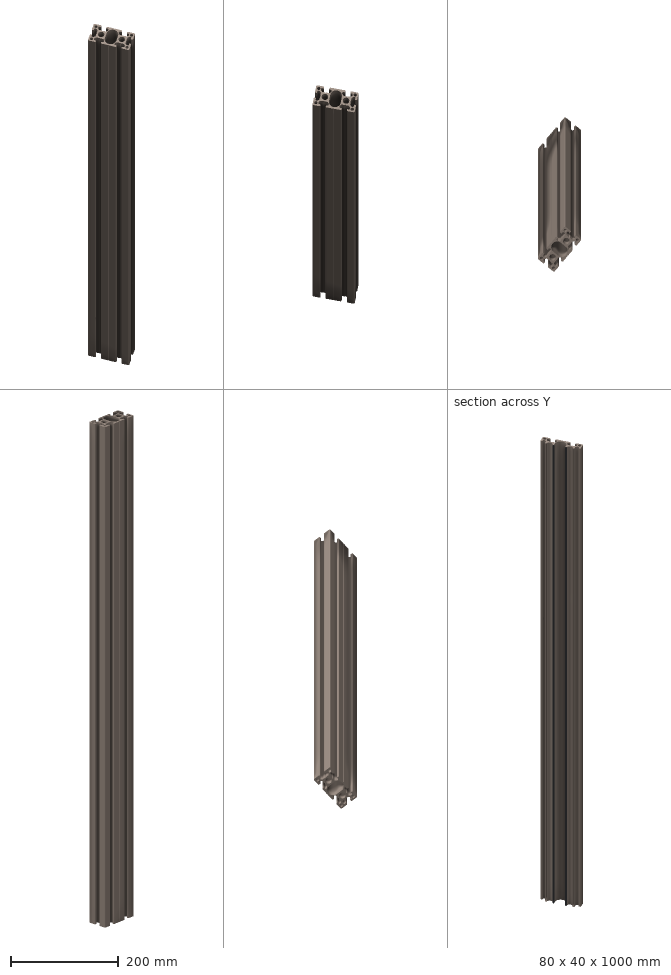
import cadquery as cq
import math

length = 1000.0
cell = 40.0
width = 2 * cell
half_cell = cell / 2
corner_radius = 2.0

mouth_half = 5.0
lip_thickness = 4.0
lip_radius = 1.6
cavity_half = 9.8
cavity_radius = 1.5
floor_half = 6.8
floor_depth = 11.0

groove_half = 0.8
groove_depth = 1.0

bore_radius = 6.0
chamber_half_width = 11.0
chamber_wall = 3.2
corner_hole_offset = 5.5
corner_hole_radius = 3.0


def arc_middle_inset(radius):
    """Distance of a quarter arc's middle from each of the two lines it rounds off."""
    return radius * (1 - math.sqrt(0.5))


def turned(solid, angle):
    return solid.rotate((0, 0, 0), (0, 0, 1), angle)


def v_groove(depth):
    """V-groove open towards +Y, its mouth at this depth below a cell's outer face."""
    mouth_y = half_cell - depth
    profile = [(-groove_half, mouth_y), (0, mouth_y - groove_depth), (groove_half, mouth_y)]
    return cq.Workplane("XY").polyline(profile).close().extrude(length)


def t_slot():
    """T-slot with its floor groove, in a cell centred on the Z axis, open towards +Y."""
    lip_y = half_cell - lip_thickness
    cavity_y = lip_y - cavity_radius
    floor_y = half_cell - floor_depth
    bevel_y = floor_y + cavity_half - floor_half
    lip_inset = arc_middle_inset(lip_radius)
    cavity_inset = arc_middle_inset(cavity_radius)
    half_slot = (
        cq.Workplane("XY")
        .moveTo(0, floor_y)
        .lineTo(floor_half, floor_y)
        .lineTo(cavity_half, bevel_y)
        .lineTo(cavity_half, cavity_y)
        .threePointArc(
            (cavity_half - cavity_inset, lip_y - cavity_inset),
            (cavity_half - cavity_radius, lip_y),
        )
        .lineTo(mouth_half, lip_y)
        .lineTo(mouth_half, half_cell - lip_radius)
        .threePointArc(
            (mouth_half + lip_inset, half_cell - lip_inset),
            (mouth_half + lip_radius, half_cell),
        )
        .lineTo(0, half_cell)
    )
    slot = half_slot.mirrorY().extrude(length)
    return slot.union(v_groove(floor_depth))


def chamber():
    """Round-ended hollow between the two cells."""
    height = cell - 2 * chamber_wall
    return cq.Workplane("XY").slot2D(height, 2 * chamber_half_width, 90).extrude(length)


def bores():
    """Round bore through the middle of each cell."""
    centres = [(-half_cell, 0), (half_cell, 0)]
    return cq.Workplane("XY").pushPoints(centres).circle(bore_radius).extrude(length)


def corner_holes():
    """Small hole along each outer corner of the bar."""
    inset = 2 * corner_hole_offset
    return (
        cq.Workplane("XY")
        .rect(width - inset, cell - inset, forConstruction=True)
        .vertices()
        .circle(corner_hole_radius)
        .extrude(length)
    )


bar = cq.Workplane("XY").rect(width, cell).extrude(length)
bar = bar.edges("|Z").fillet(corner_radius)

slot = t_slot()
for side in (-1, 1):
    for angle in (0, 180, -90 * side):
        bar = bar.cut(turned(slot, angle).translate((side * half_cell, 0, 0)))

for angle in (0, 180):
    bar = bar.cut(turned(v_groove(0), angle))

result = bar.cut(chamber()).cut(bores()).cut(corner_holes())